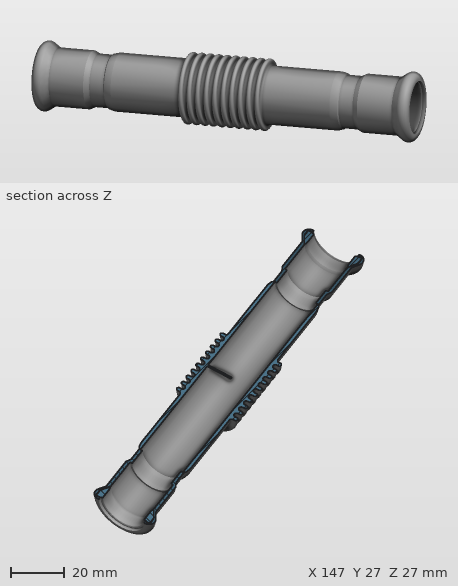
import cadquery as cq
import math

total_length = 147.0
half_length = total_length / 2
tube_radius = 22.0 / 2

fitting_length = 27.6
bead_radius = 13.2
bead_face_radius = 21.3 / 2
bead_arc_radius = bead_radius - bead_face_radius
bead_cone_angle = math.radians(33.6)
mouth_radius = 20.0 / 2
lip_thickness = 1.2
socket_radius = 19.0 / 2
socket_depth = 20.6
neck_cone_start = 20.1
neck_cone_end = 22.2
neck_radius = 20.0 / 2
neck_bore_radius = 17.0 / 2

seal_bore_radius = 18.2 / 2
seal_chamfer = 0.3
seal_outer_radius = 11.8
seal_shoulder = 3.7
seal_bore_end = 6.2
seal_end = 7.4

pipe_bore_radius = 18.8 / 2
pipe_chamfer = 0.5
pipe_round_length = 2.8
pipe_round_drop = 0.6
wave_count = 10
wave_pitch = 3.31
wave_crest_radius = 13.5
wave_arc_radius = wave_pitch / 4

hub_diameter = 2.2
arm_width = 0.7
arm_thickness = 0.9


def revolve_about_x(profile):
    """Turn a closed profile, drawn as (X, radius), once around the X axis."""
    return profile.close().revolve(360, (0, 0, 0), (1, 0, 0))


def mirrored(body):
    """Copy of a left-hand body at the right-hand end."""
    return body.mirror("YZ")


def make_fitting():
    """Left press fitting: beaded mouth, socket with a seal recess, and narrowed neck."""
    end = -half_length
    arc_centre = end + bead_arc_radius
    tangent_x = arc_centre + bead_arc_radius * math.sin(bead_cone_angle)
    tangent_radius = bead_face_radius + bead_arc_radius * math.cos(bead_cone_angle)
    cone_length = (tangent_radius - tube_radius) / math.tan(bead_cone_angle)
    mid_angle = (math.pi / 2 + bead_cone_angle) / 2 - bead_cone_angle
    arc_middle = (
        arc_centre - bead_arc_radius * math.sin(mid_angle),
        bead_face_radius + bead_arc_radius * math.cos(mid_angle),
    )
    profile = (
        cq.Workplane("XY")
        .moveTo(end, mouth_radius)
        .lineTo(end, bead_face_radius)
        .threePointArc(arc_middle, (tangent_x, tangent_radius))
        .lineTo(tangent_x + cone_length, tube_radius)
        .lineTo(end + neck_cone_start, tube_radius)
        .lineTo(end + neck_cone_end, neck_radius)
        .lineTo(end + fitting_length, neck_radius)
        .lineTo(end + fitting_length, neck_bore_radius)
        .lineTo(end + socket_depth, neck_bore_radius)
        .lineTo(end + socket_depth, socket_radius)
        .lineTo(end + seal_end, socket_radius)
        .lineTo(end + seal_shoulder, seal_outer_radius)
        .lineTo(end + lip_thickness, seal_outer_radius)
        .lineTo(end + lip_thickness, mouth_radius)
    )
    return revolve_about_x(profile)


def make_seal():
    """Left sealing ring, filling the recess behind the lip of the fitting."""
    end = -half_length
    front = end + lip_thickness
    profile = (
        cq.Workplane("XY")
        .moveTo(front, seal_bore_radius + seal_chamfer)
        .lineTo(front, seal_outer_radius)
        .lineTo(end + seal_shoulder, seal_outer_radius)
        .lineTo(end + seal_end, socket_radius)
        .lineTo(end + seal_bore_end, seal_bore_radius)
        .lineTo(front + seal_chamfer, seal_bore_radius)
    )
    return revolve_about_x(profile)


def add_wave(profile, centre):
    """Add one wave: quarter root arc, flank, crest arc, flank, quarter root arc."""
    rise = wave_arc_radius * math.sqrt(0.5)
    root_arc_centre = tube_radius + wave_arc_radius
    crest_arc_centre = wave_crest_radius - wave_arc_radius
    start = centre - 2 * wave_arc_radius
    finish = centre + 2 * wave_arc_radius
    left_flank = centre - wave_arc_radius
    right_flank = centre + wave_arc_radius
    return (
        profile
        .threePointArc((start + rise, root_arc_centre - rise), (left_flank, root_arc_centre))
        .lineTo(left_flank, crest_arc_centre)
        .threePointArc((centre, wave_crest_radius), (right_flank, crest_arc_centre))
        .lineTo(right_flank, root_arc_centre)
        .threePointArc((finish - rise, root_arc_centre - rise), (finish, tube_radius))
    )


def make_bellows_pipe():
    """Pipe between the fittings, with rounded ends, ring waves and the inner hub."""
    pipe_end = half_length - fitting_length
    round_radius = (pipe_round_length**2 + pipe_round_drop**2) / (2 * pipe_round_drop)
    round_middle_offset = pipe_round_length / 2
    round_middle_radius = tube_radius - round_radius + math.sqrt(round_radius**2 - round_middle_offset**2)
    round_end = pipe_end - pipe_chamfer
    round_end_radius = tube_radius - pipe_round_drop
    pipe_end_radius = round_end_radius - pipe_chamfer
    round_start = round_end - pipe_round_length
    round_middle = round_start + round_middle_offset
    waves_half_length = wave_count * wave_pitch / 2

    profile = (
        cq.Workplane("XY")
        .moveTo(-pipe_end, pipe_bore_radius)
        .lineTo(-pipe_end, pipe_end_radius)
        .lineTo(-round_end, round_end_radius)
        .threePointArc((-round_middle, round_middle_radius), (-round_start, tube_radius))
        .lineTo(-waves_half_length, tube_radius)
    )
    for index in range(wave_count):
        profile = add_wave(profile, (index - (wave_count - 1) / 2) * wave_pitch)
    profile = (
        profile
        .lineTo(round_start, tube_radius)
        .threePointArc((round_middle, round_middle_radius), (round_end, round_end_radius))
        .lineTo(pipe_end, pipe_end_radius)
        .lineTo(pipe_end, pipe_bore_radius)
    )
    return revolve_about_x(profile).union(make_hub())


def make_hub():
    """Disc on the pipe axis, held by a flat arm that runs into the wall on the +Y side."""
    arm_length = (pipe_bore_radius + tube_radius) / 2
    disc = cq.Workplane("YZ").circle(hub_diameter / 2).extrude(arm_thickness / 2, both=True)
    arm = cq.Workplane("XY").box(arm_thickness, arm_length, arm_width).translate((0, arm_length / 2, 0))
    return disc.union(arm)


fitting = make_fitting()
seal = make_seal()
bellows_pipe = make_bellows_pipe()

end_bodies = []
for body in (fitting, seal):
    end_bodies.append(body.val())
    end_bodies.append(mirrored(body).val())

result = cq.Compound.makeCompound([bellows_pipe.val(), *end_bodies])